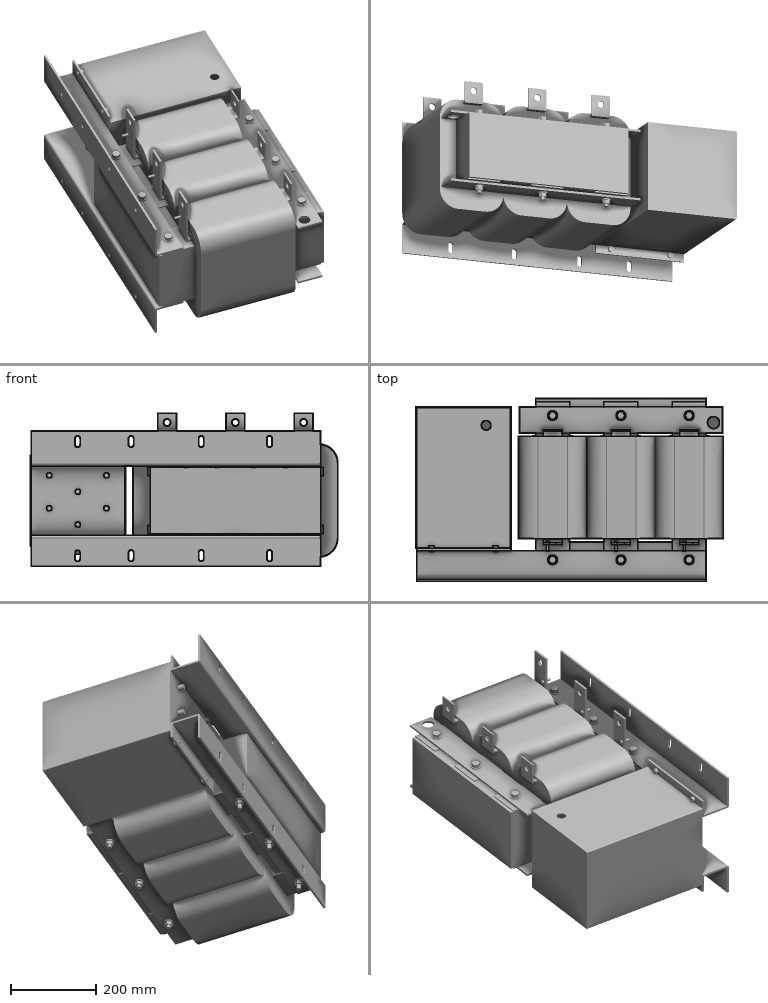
import cadquery as cq


TOTAL_LENGTH = 720.0
TOTAL_DEPTH = 428.0
TOTAL_HEIGHT = 358.5
MID_Z = 154.0
SHEET = 5.0

PITCH = 160.0
COIL_HEIGHT = 265.0
COIL_CORNER = 45.0
COIL_FRONT = 100.0
COIL_BACK = 340.0
PHASES = [TOTAL_LENGTH - PITCH * (0.5 + n) for n in (2, 1, 0)]

LIMB_WIDTH = 80.0
CORE_FRONT = 11.5
CORE_HEIGHT = 155.5
YOKE_DEPTH = 80.5
CORE_LEFT = PHASES[0] - LIMB_WIDTH / 2
CORE_RIGHT = PHASES[-1] + LIMB_WIDTH / 2
PAD = 3.0
PAD_INSET = 8.0
CLAMP_HALF = CORE_HEIGHT / 2 + PAD
WEDGE_WIDTH = 6.0
WEDGE_HEIGHT = 20.0
WEDGE_OVERHANG = 1.0

RAIL_LEFT = 2.0
RAIL_DEPTH = 72.0
RAIL_BEND = 6.0
RAIL_TOP = 317.5
TAB_BEND = 4.0
TAB_REACH = 126.0
SLOT_WIDTH = 11.5
SLOT_LENGTH = 26.0
SLOT_EDGE = 25.0
SLOT_XS = (111.0, 236.0, PHASES[0] + PITCH / 2, PHASES[1] + PITCH / 2)

STRAP_LEFT = 242.5
STRAP_RIGHT = 718.5
STRAP_FRONT = 347.0
STRAP_BACK = 408.0
STRAP_HOLE = 28.0
STRAP_HOLE_AT = (697.0, 371.5)

BOLT_YS = (50.5, 388.0)
WASHER_DIAMETER = 22.0
WASHER_THICKNESS = 3.0
HEX_ACROSS_CORNERS = 19.5
HEX_HEIGHT = 8.5
STUD_DIAMETER = 11.0
STUD_LENGTHS = (24.5, 18.0)

BAR_WIDTH = 44.5
BAR_HOLE = 16.0
BAR_HOLE_EDGE = 21.5
FRONT_BAR_Y = 86.0
FRONT_FOOT_Z = 237.5
FRONT_LUG_TOP = 253.5
FRONT_LUG_THICKNESS = 1.5
REAR_BAR_TOP = 329.0
REAR_BAR_BACK = 355.0
REAR_BAR_SHEET = 3.5
REAR_BAR_BEND = 4.0
REAR_FOOT_Z = 277.0
PIN_Z = 289.5
PIN_OFFSET = -11.5
PIN_DIAMETER = 6.0
PIN_FRONT = 70.5
PIN_HEAD_DIAMETER = 8.5
PIN_HEAD_LENGTH = 3.5

BOX_WIDTH = 223.0
BOX_HEIGHT = 213.0
BOX_BACK = STRAP_BACK
BOX_WALL = 2.0
BOX_HOLE = 22.0
BOX_HOLE_AT = (165.0, 365.0)
BOX_FRONT = RAIL_DEPTH + SHEET

TERMINAL_DIAMETER = 12.0
TERMINAL_LENGTH = 14.5
TERMINAL_SPACING_X = 67.0
TERMINAL_STEP_Z = 77.0
TERMINAL_OUTER_Z = 136.0
TERMINAL_MID_Z = 98.0
SCREW_XS = (37.5, 187.0)
SCREW_RISE = 114.0
SCREW_HEAD_DIAMETER = 8.5
SCREW_HEAD_LENGTH = 3.0
SCREW_NUT_DIAMETER = 13.0
SCREW_NUT_LENGTH = 6.5


def block(x0, x1, y0, y1, z0, z1):
    """Box between two opposite corners."""
    return cq.Workplane("XY").box(x1 - x0, y1 - y0, z1 - z0, centered=False).translate((x0, y0, z0))


def rod_y(x, z, y0, y1, diameter):
    """Round bar along Y."""
    return cq.Workplane("XZ", origin=(x, y0, z)).circle(diameter / 2).extrude(y0 - y1)


def rod_z(x, y, z0, z1, diameter):
    """Round bar along Z."""
    return cq.Workplane("XY", origin=(x, y, z0)).circle(diameter / 2).extrude(z1 - z0)


def hex_z(x, y, z0, z1):
    """Hexagonal bolt head or nut."""
    return cq.Workplane("XY", origin=(x, y, z0)).polygon(6, HEX_ACROSS_CORNERS).extrude(z1 - z0)


def centred_z(x0, x1, y0, y1, height):
    """Box symmetric about the core's mid plane."""
    return block(x0, x1, y0, y1, MID_Z - height / 2, MID_Z + height / 2)


def coil(x):
    winding = centred_z(x - PITCH / 2, x + PITCH / 2, COIL_FRONT, COIL_BACK, COIL_HEIGHT)
    return winding.edges("|Y").fillet(COIL_CORNER)


def core():
    front_yoke_back = CORE_FRONT + YOKE_DEPTH
    rear_yoke_front = TOTAL_DEPTH - YOKE_DEPTH
    body = centred_z(CORE_LEFT, CORE_RIGHT, CORE_FRONT, front_yoke_back, CORE_HEIGHT)
    body = body.union(centred_z(CORE_LEFT, CORE_RIGHT, rear_yoke_front, TOTAL_DEPTH, CORE_HEIGHT))
    for x in PHASES:
        left = x - LIMB_WIDTH / 2
        right = x + LIMB_WIDTH / 2
        limb = centred_z(left, right, CORE_FRONT + PAD_INSET, TOTAL_DEPTH - PAD_INSET, 2 * CLAMP_HALF)
        body = body.union(limb)
        wedges = centred_z(
            left - WEDGE_WIDTH, right + WEDGE_WIDTH,
            COIL_FRONT - WEDGE_OVERHANG, COIL_BACK + WEDGE_OVERHANG, CORE_HEIGHT,
        )
        gap = centred_z(
            left - WEDGE_WIDTH, right + WEDGE_WIDTH, 0, TOTAL_DEPTH, CORE_HEIGHT - 2 * WEDGE_HEIGHT
        )
        body = body.union(wedges.cut(gap))
    return body


def rail(web_inner_z, edge_z):
    """Angle rail from its core-side web face to the free edge of its front flange."""
    away = 1 if edge_z > web_inner_z else -1
    web_outer_z = web_inner_z + away * SHEET
    profile = [
        (0, web_inner_z), (RAIL_DEPTH, web_inner_z), (RAIL_DEPTH, web_outer_z),
        (SHEET, web_outer_z), (SHEET, edge_z), (0, edge_z),
    ]
    angle = cq.Workplane("YZ", origin=(RAIL_LEFT, 0, 0)).polyline(profile).close()
    angle = angle.extrude(CORE_RIGHT - RAIL_LEFT)
    bend = cq.selectors.NearestToPointSelector((CORE_RIGHT / 2, 0, web_inner_z))
    angle = angle.edges("|X").edges(bend).fillet(RAIL_BEND)
    slot_z = edge_z - away * SLOT_EDGE
    slots = cq.Workplane("XZ").pushPoints([(x, slot_z) for x in SLOT_XS])
    slots = slots.slot2D(SLOT_LENGTH, SLOT_WIDTH, 90).extrude(-SHEET)
    tab_ends = sorted((web_inner_z, MID_Z + away * TAB_REACH))
    tab = block(RAIL_LEFT, BOX_WIDTH, RAIL_DEPTH, BOX_FRONT, *tab_ends)
    tab_bend = cq.selectors.NearestToPointSelector((BOX_WIDTH / 2, BOX_FRONT, web_inner_z))
    tab = tab.edges("|X").edges(tab_bend).fillet(TAB_BEND)
    return angle.cut(slots).union(tab)


def straps():
    top = MID_Z + CLAMP_HALF
    bottom = MID_Z - CLAMP_HALF
    upper = block(STRAP_LEFT, STRAP_RIGHT, STRAP_FRONT, STRAP_BACK, top, top + SHEET)
    upper = upper.cut(rod_z(*STRAP_HOLE_AT, top, top + SHEET, STRAP_HOLE))
    lower = block(STRAP_LEFT, STRAP_RIGHT, STRAP_FRONT, STRAP_BACK, bottom - SHEET, bottom)
    return upper.union(lower)


def bolt(x, y, stud_length):
    """Washer and head above the clamped stack, washer, nut and stud end below."""
    top = MID_Z + CLAMP_HALF + SHEET
    bottom = MID_Z - CLAMP_HALF - SHEET
    parts = rod_z(x, y, top, top + WASHER_THICKNESS, WASHER_DIAMETER)
    parts = parts.union(hex_z(x, y, top, top + WASHER_THICKNESS + HEX_HEIGHT))
    parts = parts.union(rod_z(x, y, bottom - WASHER_THICKNESS, bottom, WASHER_DIAMETER))
    parts = parts.union(hex_z(x, y, bottom - WASHER_THICKNESS - HEX_HEIGHT, bottom))
    return parts.union(rod_z(x, y, bottom - stud_length, top, STUD_DIAMETER))


def front_terminal(x):
    left = x - BAR_WIDTH / 2
    right = x + BAR_WIDTH / 2
    back = FRONT_BAR_Y + SHEET
    bar = block(left, right, FRONT_BAR_Y, back, FRONT_FOOT_Z, TOTAL_HEIGHT)
    bar = bar.union(block(left, right, FRONT_BAR_Y, COIL_FRONT, FRONT_FOOT_Z, FRONT_FOOT_Z + SHEET))
    lug_front = COIL_FRONT - FRONT_LUG_THICKNESS
    bar = bar.union(block(left, right, lug_front, COIL_FRONT, FRONT_FOOT_Z, FRONT_LUG_TOP))
    bar = bar.cut(rod_y(x, TOTAL_HEIGHT - BAR_HOLE_EDGE, FRONT_BAR_Y, back, BAR_HOLE))
    pin_x = x + PIN_OFFSET
    bar = bar.union(rod_y(pin_x, PIN_Z, PIN_FRONT, back, PIN_DIAMETER))
    return bar.union(rod_y(pin_x, PIN_Z, back, back + PIN_HEAD_LENGTH, PIN_HEAD_DIAMETER))


def rear_terminal(x):
    left = x - BAR_WIDTH / 2
    right = x + BAR_WIDTH / 2
    front = REAR_BAR_BACK - REAR_BAR_SHEET
    bar = block(left, right, front, REAR_BAR_BACK, REAR_FOOT_Z, REAR_BAR_TOP)
    bar = bar.cut(rod_y(x, REAR_BAR_TOP - BAR_HOLE_EDGE, front, REAR_BAR_BACK, BAR_HOLE))
    foot_top = REAR_FOOT_Z + REAR_BAR_SHEET
    bar = bar.union(block(left, right, COIL_BACK, REAR_BAR_BACK, REAR_FOOT_Z, foot_top))
    inner_bend = cq.selectors.NearestToPointSelector((x, front, foot_top))
    return bar.edges("|X").edges(inner_bend).fillet(REAR_BAR_BEND)


def connection_box():
    housing = centred_z(0, BOX_WIDTH, BOX_FRONT, BOX_BACK, BOX_HEIGHT)
    housing = housing.edges("|Y and <X").fillet(BOX_WALL)
    inside = centred_z(
        BOX_WALL, BOX_WIDTH - BOX_WALL,
        BOX_FRONT + BOX_WALL, BOX_BACK - BOX_WALL, BOX_HEIGHT - 2 * BOX_WALL,
    )
    housing = housing.cut(inside)
    return housing.cut(rod_z(*BOX_HOLE_AT, MID_Z, TOTAL_HEIGHT, BOX_HOLE))


def box_terminals():
    mid_x = BOX_WIDTH / 2
    spots = []
    for row in (0, 1):
        rise = row * TERMINAL_STEP_Z
        spots.append((mid_x - TERMINAL_SPACING_X, TERMINAL_OUTER_Z + rise))
        spots.append((mid_x + TERMINAL_SPACING_X, TERMINAL_OUTER_Z + rise))
        spots.append((mid_x, TERMINAL_MID_Z + rise))
    pins = cq.Workplane("XZ", origin=(0, BOX_FRONT, 0)).pushPoints(spots)
    return pins.circle(TERMINAL_DIAMETER / 2).extrude(TERMINAL_LENGTH)


def tab_screw(x, z):
    head = rod_y(x, z, RAIL_DEPTH - SCREW_HEAD_LENGTH, RAIL_DEPTH, SCREW_HEAD_DIAMETER)
    return head.union(rod_y(x, z, BOX_FRONT, BOX_FRONT + SCREW_NUT_LENGTH, SCREW_NUT_DIAMETER))


result = core()
for phase_x in PHASES:
    result = result.union(coil(phase_x))
result = result.union(rail(MID_Z + CLAMP_HALF, RAIL_TOP))
result = result.union(rail(MID_Z - CLAMP_HALF, 0))
result = result.union(straps())
for phase_x in PHASES:
    result = result.union(front_terminal(phase_x))
    result = result.union(rear_terminal(phase_x))
    for bolt_y, bolt_stud in zip(BOLT_YS, STUD_LENGTHS):
        result = result.union(bolt(phase_x, bolt_y, bolt_stud))
result = result.union(connection_box())
result = result.union(box_terminals())
for screw_x in SCREW_XS:
    for screw_z in (MID_Z - SCREW_RISE, MID_Z + SCREW_RISE):
        result = result.union(tab_screw(screw_x, screw_z))